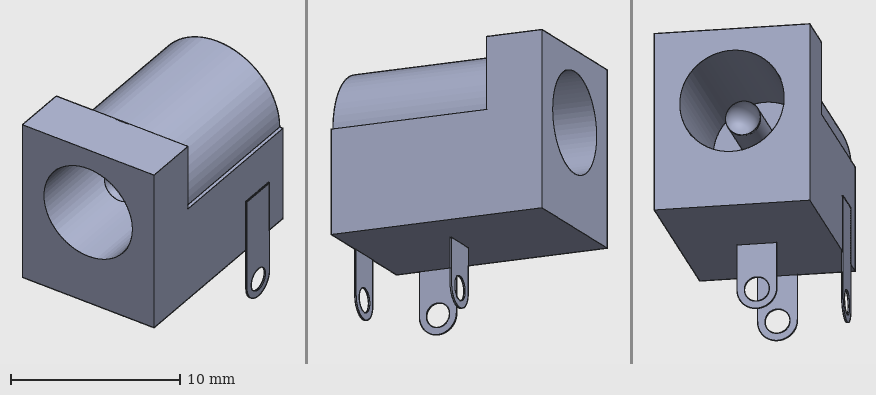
import cadquery as cq


HOUSING_WIDTH = 9.39
HOUSING_HEIGHT = 11.0
HOUSING_LENGTH = 13.7
BLOCK_LENGTH = 3.6
AXIS_TO_BOTTOM = 6.5
BARREL_RADIUS = 4.45
BORE_AND_BARREL_FACETS = 64
BORE_RADIUS = 3.15
BORE_DEPTH = 10.0

PIN_RADIUS = 1.05
PIN_TIP_Y = 3.3
RIVET_BASE_RADIUS = 1.42
RIVET_END_RADIUS = 1.28
RIVET_HEIGHT = 0.12

LEG_WIDTH = 2.4
LEG_THICKNESS = 0.1
LEG_DROP = 4.0
EYE_RADIUS = 0.75
REAR_PAD_RADIUS = 1.75
SIDE_LEG_EMBED = 3.45
SIDE_LEG_Y = 11.0
MIDDLE_LEG_EMBED = 3.0
MIDDLE_LEG_Y = 7.5

HOUSING_BOTTOM = -AXIS_TO_BOTTOM
HOUSING_TOP = HOUSING_BOTTOM + HOUSING_HEIGHT
EYE_Z = HOUSING_BOTTOM - LEG_DROP + LEG_WIDTH / 2
RIVET_BASE_Y = HOUSING_LENGTH + LEG_THICKNESS / 2
RIVET_END_Y = HOUSING_LENGTH + RIVET_HEIGHT


def rod(radius, start_y, end_y):
    """Round bar on the bore axis."""
    return cq.Workplane("XZ", origin=(0, start_y, 0)).circle(radius).extrude(start_y - end_y)


def faceted_rod(radius, start_y, end_y):
    """Bar on the bore axis with a regular many-sided section."""
    section = cq.Workplane("XZ", origin=(0, start_y, 0)).polygon(BORE_AND_BARREL_FACETS, 2 * radius)
    return section.extrude(start_y - end_y)


def box(width, start_y, end_y, bottom, top):
    """Rectangular block centred on x = 0."""
    block = cq.Workplane("XY", origin=(0, (start_y + end_y) / 2, bottom))
    return block.rect(width, end_y - start_y).extrude(top - bottom)


def make_leg(embed):
    """Upright strip facing Y, centred on y = 0, with a rounded lower end and an eye in it."""
    top = HOUSING_BOTTOM + embed
    strip = box(LEG_WIDTH, -LEG_THICKNESS / 2, LEG_THICKNESS / 2, EYE_Z, top)
    round_end = rod(LEG_WIDTH / 2, -LEG_THICKNESS / 2, LEG_THICKNESS / 2).translate((0, 0, EYE_Z))
    eye = rod(EYE_RADIUS, -LEG_THICKNESS, LEG_THICKNESS).translate((0, 0, EYE_Z))
    return strip.union(round_end).cut(eye)


def make_pin():
    """Centre contact with a hemispherical hollow in its tip, riveted over behind the housing."""
    shank = rod(PIN_RADIUS, PIN_TIP_Y, RIVET_END_Y)
    hollow = cq.Workplane("XY").sphere(PIN_RADIUS).translate((0, PIN_TIP_Y, 0))
    rivet = cq.Solid.makeCone(
        RIVET_BASE_RADIUS,
        RIVET_END_RADIUS,
        RIVET_END_Y - RIVET_BASE_Y,
        pnt=cq.Vector(0, RIVET_BASE_Y, 0),
        dir=cq.Vector(0, 1, 0),
    )
    return shank.cut(hollow).union(cq.Workplane(rivet))


def make_rear_terminal(pin):
    """Strip let halfway into the back face, with a round pad under the rivet."""
    pad = rod(REAR_PAD_RADIUS, -LEG_THICKNESS / 2, LEG_THICKNESS / 2)
    return make_leg(AXIS_TO_BOTTOM).union(pad).translate((0, HOUSING_LENGTH, 0)).cut(pin)


def make_side_terminal():
    """Strip let halfway into the +X face."""
    turned = make_leg(SIDE_LEG_EMBED).rotate((0, 0, 0), (0, 0, 1), 90)
    return turned.translate((HOUSING_WIDTH / 2, SIDE_LEG_Y, 0))


def make_middle_terminal():
    """Strip standing in a slot in the underside."""
    return make_leg(MIDDLE_LEG_EMBED).translate((0, MIDDLE_LEG_Y, 0))


def make_housing(inserts):
    """Rectangular mating block and barrel, bored from the front and recessed for its inserts."""
    block = box(HOUSING_WIDTH, 0, BLOCK_LENGTH, HOUSING_BOTTOM, HOUSING_TOP)
    base = box(HOUSING_WIDTH, 0, HOUSING_LENGTH, HOUSING_BOTTOM, 0)
    barrel = faceted_rod(BARREL_RADIUS, 0, HOUSING_LENGTH)
    housing = block.union(base).union(barrel)
    housing = housing.cut(faceted_rod(BORE_RADIUS, 0, BORE_DEPTH))
    for insert in inserts:
        housing = housing.cut(insert)
    return housing


pin = make_pin()
rear_terminal = make_rear_terminal(pin)
side_terminal = make_side_terminal()
middle_terminal = make_middle_terminal()
housing = make_housing([pin, rear_terminal, side_terminal, middle_terminal])

bodies = [housing, pin, rear_terminal, side_terminal, middle_terminal]
result = cq.Compound.makeCompound([body.solids().val() for body in bodies])